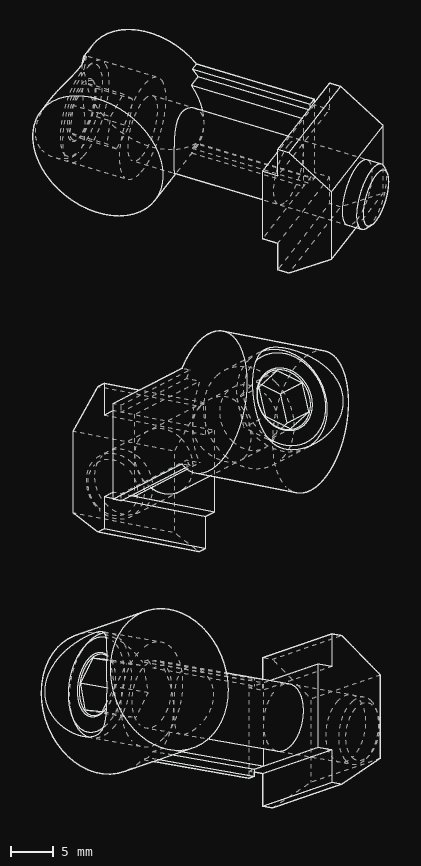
import cadquery as cq

body_width = 14.0
barrel_diameter = 17.0
barrel_radius = barrel_diameter / 2
barrel_center_x = barrel_radius

screw_end_x = 41.4
shank_diameter = 8.05
tip_chamfer = 0.6
head_diameter = 12.5
head_face_x = 3.0
head_height = 8.0
head_chamfer = 0.6
head_seat_x = head_face_x + head_height
socket_across_corners = 7.12
socket_angle = 15.0
socket_depth = 5.0
socket_mouth_diameter = 7.65
socket_rim_diameter = 7.33
socket_mouth_depth = 0.15

nut_start_x = 29.97
nut_end_x = 38.95
nut_neck_height = 10.1
nut_flange_height = 18.0
nut_flange_x = 31.95
nut_taper_x = 33.4

rail_outer_height = 11.85
rail_outer_thickness = 1.1
rail_thickness = 2.95


def x_cylinder(start_x, end_x, diameter):
    """Cylinder on the screw axis between two X positions."""
    return cq.Workplane("YZ", origin=(start_x, 0, 0)).circle(diameter / 2).extrude(end_x - start_x)


def rail_layer(height, thickness):
    """Flat bar against the +Y side, from the barrel axis to the nut."""
    length = nut_start_x - barrel_center_x
    return cq.Workplane("XY").box(length, thickness, height).translate(
        (barrel_center_x + length / 2, (body_width - thickness) / 2, 0)
    )


def make_housing():
    """Cross barrel with its stepped rail, counterbored for the screw."""
    barrel = (
        cq.Workplane("XZ")
        .center(barrel_center_x, 0)
        .circle(barrel_radius)
        .extrude(body_width / 2, both=True)
    )
    rail = rail_layer(rail_outer_height, rail_outer_thickness).union(
        rail_layer(nut_neck_height, rail_thickness)
    )
    head_bore = x_cylinder(0, head_seat_x, head_diameter)
    shank_bore = x_cylinder(head_seat_x, nut_start_x, shank_diameter)
    return barrel.union(rail).cut(head_bore).cut(shank_bore)


def make_socket():
    """Hexagonal drive recess with a conical mouth."""
    face = cq.Workplane("YZ", origin=(head_face_x, 0, 0))
    hexagon = (
        face.transformed(rotate=(0, 0, socket_angle))
        .polygon(6, socket_across_corners)
        .extrude(socket_depth)
    )
    mouth = (
        face.circle(socket_mouth_diameter / 2)
        .workplane(offset=socket_mouth_depth)
        .circle(socket_rim_diameter / 2)
        .loft()
    )
    return hexagon.union(mouth)


def make_screw():
    """Socket-head screw along the X axis."""
    head = x_cylinder(head_face_x, head_seat_x, head_diameter).faces("<X").chamfer(head_chamfer)
    shank = x_cylinder(head_seat_x, screw_end_x, shank_diameter).faces(">X").chamfer(tip_chamfer)
    return head.union(shank).cut(make_socket())


def make_nut():
    """T-slot nut with a narrow neck, a flange and tapered flanks."""
    neck = nut_neck_height / 2
    flange = nut_flange_height / 2
    upper_side = [
        (nut_start_x, neck),
        (nut_flange_x, neck),
        (nut_flange_x, flange),
        (nut_taper_x, flange),
        (nut_end_x, neck),
    ]
    lower_side = [(x, -z) for x, z in reversed(upper_side)]
    block = (
        cq.Workplane("XZ")
        .polyline(upper_side + lower_side)
        .close()
        .extrude(body_width / 2, both=True)
    )
    return block.cut(x_cylinder(nut_start_x, nut_end_x, shank_diameter))


housing = make_housing()
screw = make_screw()
nut = make_nut()

result = cq.Compound.makeCompound([housing.val(), screw.val(), nut.val()])